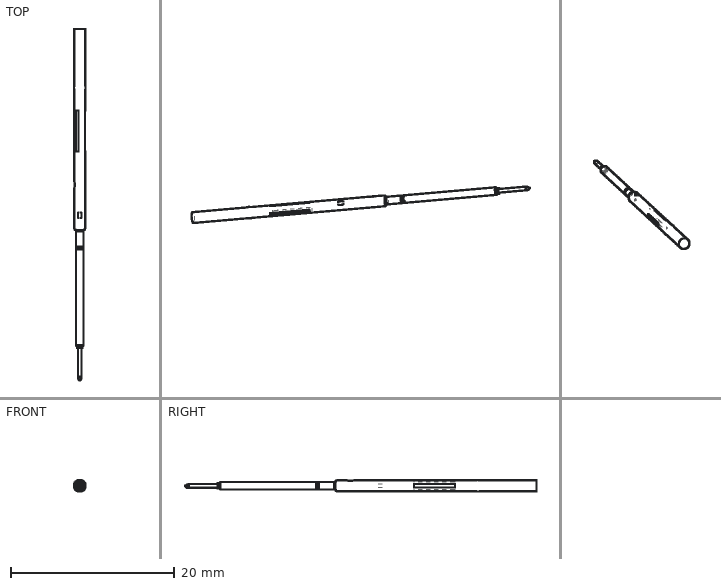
import cadquery as cq

overall_length = 43.1

barrel_radius = 0.68
barrel_end = 24.63
nose_length = 0.25
nose_drop = 0.1

ring_radius = 0.725
ring_start = 6.8
ring_end = 7.6

plunger_radius = 0.48
relief_radius = 0.47
relief_end = 24.85
groove_radius = 0.42
groove_start = 26.68
groove_floor_start = 26.85
groove_end = 27.05

plunger_end = 38.85
taper_length = 0.12
neck_radius = 0.36
neck_end = 39.12

needle_radius = 0.24
facet_count = 3
facet_length = 0.53
top_angle = 90

slot_count = 3
slot_start = 10.0
slot_end = 15.0
slot_width = 0.38
slot_depth = 0.06

dent_ball_radius = 2.2
dent_depth = 0.055
side_dent_position = 19.1
top_dent_position = 22.83


def turn(shape, angle):
    """Turn a shape about the probe axis, from +X toward +Z."""
    return shape.rotate((0, 0, 0), (0, 1, 0), -angle)


def make_body():
    """Revolve the half profile of barrel, plunger and needle about the Y axis."""
    profile = (
        cq.Workplane("XY")
        .lineTo(barrel_radius, 0)
        .lineTo(barrel_radius, -ring_start)
        .threePointArc((ring_radius, -(ring_start + ring_end) / 2), (barrel_radius, -ring_end))
        .lineTo(barrel_radius, -(barrel_end - nose_length))
        .tangentArcPoint((barrel_radius - nose_drop, -barrel_end), relative=False)
        .lineTo(relief_radius, -barrel_end)
        .lineTo(relief_radius, -relief_end)
        .lineTo(plunger_radius, -relief_end)
        .lineTo(plunger_radius, -groove_start)
        .lineTo(groove_radius, -groove_floor_start)
        .lineTo(groove_radius, -groove_end)
        .lineTo(plunger_radius, -groove_end)
        .lineTo(plunger_radius, -(plunger_end - taper_length))
        .lineTo(neck_radius, -plunger_end)
        .lineTo(neck_radius, -neck_end)
        .lineTo(needle_radius, -neck_end)
        .lineTo(needle_radius, -overall_length)
        .lineTo(0, -overall_length)
        .close()
    )
    return profile.revolve(360, (0, 0, 0), (0, 1, 0))


def cut_point(body):
    """Grind flat facets that meet on the axis at the tip; the first one faces up."""
    reach = 2 * needle_radius
    wedge = (
        cq.Workplane("XY")
        .moveTo(0, -overall_length)
        .lineTo(reach, -(overall_length - facet_length * reach / needle_radius))
        .lineTo(reach, -overall_length)
        .close()
        .extrude(reach, both=True)
    )
    for index in range(facet_count):
        body = body.cut(turn(wedge, top_angle + index * 360 / facet_count))
    return body


def cut_slots(body):
    """Cut flat-bottomed slots, the first one on the +X side."""
    cutter = (
        cq.Workplane("XY")
        .box(2 * slot_depth, slot_end - slot_start, slot_width)
        .translate((barrel_radius, -(slot_start + slot_end) / 2, 0))
    )
    for index in range(slot_count):
        body = body.cut(turn(cutter, index * 360 / slot_count))
    return body


def cut_dents(body):
    offset = barrel_radius - dent_depth + dent_ball_radius
    ball = cq.Workplane("XY").sphere(dent_ball_radius)
    body = body.cut(ball.translate((-offset, -side_dent_position, 0)))
    return body.cut(ball.translate((0, -top_dent_position, offset)))


result = cut_dents(cut_slots(cut_point(make_body())))